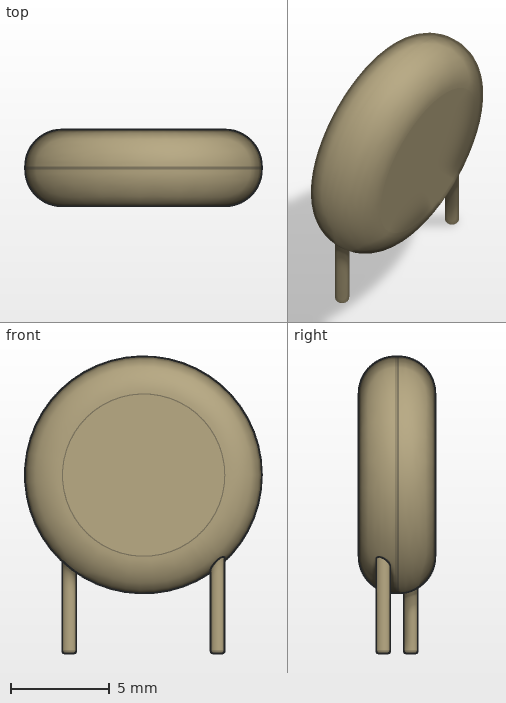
import cadquery as cq

disc_diameter = 12.0
disc_thickness = 3.9
edge_radius = 1.9

overall_height = 15.03
pin_diameter = 0.72
pin_spacing_x = 7.5
pin_spacing_y = 1.4
tip_rounding = 0.15
pin_embedded_top_z = -2.05

disc_radius = disc_diameter / 2
pin_bottom_z = disc_radius - overall_height
pin_length = pin_embedded_top_z - pin_bottom_z


def make_disc():
    disc = cq.Workplane("XZ").circle(disc_radius).extrude(disc_thickness / 2, both=True)
    return disc.edges().fillet(edge_radius)


def make_pin(x, y):
    pin = cq.Workplane("XY").circle(pin_diameter / 2).extrude(pin_length)
    pin = pin.faces("<Z").edges().fillet(tip_rounding)
    return pin.translate((x, y, pin_bottom_z))


result = make_disc()
for side in (-1, 1):
    result = result.union(make_pin(side * pin_spacing_x / 2, -side * pin_spacing_y / 2))